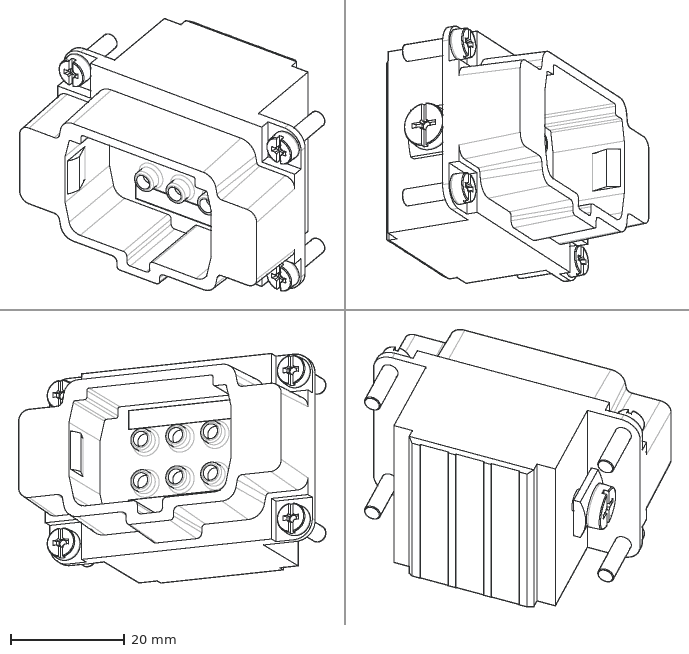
import cadquery as cq
import math


flange_width = 50.4
flange_height = 33.9
flange_thickness = 3.3
flange_corner_radius = 3.55
pocket_width = 7.0
pocket_height = 7.4
pocket_floor = 2.0

block_width = 30.55
block_rear = 19.1
tongue_width = 23.6
tongue_rear = 21.6
tongue_chamfer_depth = 0.95
tongue_side_chamfer = 0.9
tongue_end_chamfer = 0.5
rear_groove_depth = 0.15
rear_rib_width = 1.4

shroud_length = 12.1
shroud_draft = 0.45
shroud_side_draft = 0.3
ear_half_height = 8.5
ear_corner_radius = 2.0
hood_half_height = 12.95
hood_root_half_width = 17.25
hood_top_half_width = 16.4
hood_corner_radius = 3.2
hood_root_radius = 0.6
key_half_width = 4.85
key_bottom = -15.4
key_root_radius = 0.7
key_corner_radius = 1.0

cavity_floor = 2.0
cavity_notch_half_width = 12.1
cavity_top = 10.75
cavity_shoulder_height = 8.7
cavity_shoulder_half_width = 14.6
cavity_half_width = 15.5
cavity_waist_height = 4.9
cavity_bottom = -10.7
cavity_bottom_half_width = 14.25
cavity_bottom_radius = 2.4
cavity_edge_radius = 0.4
cavity_key_half_width = 2.4
cavity_key_bottom = -13.25
cavity_key_radius = 0.75

latch_height = 7.0
latch_reach = 1.0
latch_back = -5.85
latch_ridge = -9.05
latch_front = -11.35
latch_front_bulge = 0.15
latch_embed = 0.5

contact_pitch = 6.7
contact_half_spacing = 3.8
contact_length = 2.5
contact_foot_diameter = 5.05
contact_diameter = 4.0
contact_tip_diameter = 3.3
contact_bore_diameter = 2.7
contact_bore_depth = 2.0
label_width = 20.05
label_height = 3.45
label_centre_height = 8.15
label_depth = 0.15

screw_x = 22.1
screw_z = 13.5
screw_head_diameter = 5.5
screw_head_height = 2.45
screw_shank_diameter = 3.0
screw_tip_diameter = 2.7
screw_shank_end = 12.15
screw_slot_width = 0.85
screw_cross_length = 2.95
screw_core_diameter = 1.7

earth_y = 8.95
earth_plate_size = 8.75
earth_plate_gap = 1.25
earth_plate_edge = 1.25
earth_plate_crown = 1.0
earth_head_diameter = 8.0
earth_head_height = 2.55
earth_shank_diameter = 4.0
earth_tip_diameter = 3.6
earth_cross_length = 4.65
earth_core_diameter = 1.85

head_rim_height = 0.3
head_taper = 0.1
head_edge_height = 0.2
head_edge_step = 0.15
slot_depth = 0.95
core_depth = 1.3
cross_end_slope = 0.35
core_taper = 0.2


def y_box(width, y_start, y_end, height):
    """Box centred on X and Z that spans y_start to y_end."""
    depth = y_end - y_start
    return cq.Workplane("XY").box(width, depth, height).translate((0, y_start + depth / 2, 0))


def mirrored(half_corners):
    """Close an outline: right half from top to bottom, then its mirror image."""
    return half_corners + [(-x, z, radius) for x, z, radius in reversed(half_corners)]


def rounded_outline(corners, y):
    """Closed wire in the plane at y through (x, z, radius) corners, each rounded when radius > 0."""
    stretches = []
    for index, (x, z, radius) in enumerate(corners):
        corner = cq.Vector(x, y, z)
        before_x, before_z, _ = corners[index - 1]
        after_x, after_z, _ = corners[(index + 1) % len(corners)]
        to_before = (cq.Vector(before_x, y, before_z) - corner).normalized()
        to_after = (cq.Vector(after_x, y, after_z) - corner).normalized()
        if radius == 0:
            stretches.append((corner, None, corner))
            continue
        half_angle = to_before.getAngle(to_after) / 2
        tangent_length = radius / math.tan(half_angle)
        middle_distance = radius / math.sin(half_angle) - radius
        bisector = (to_before + to_after).normalized()
        stretches.append((
            corner + to_before * tangent_length,
            corner + bisector * middle_distance,
            corner + to_after * tangent_length,
        ))
    edges = []
    for index, (start, middle, end) in enumerate(stretches):
        if middle is not None:
            edges.append(cq.Edge.makeThreePointArc(start, middle, end))
        next_start = stretches[(index + 1) % len(stretches)][0]
        edges.append(cq.Edge.makeLine(end, next_start))
    return cq.Wire.assembleEdges(edges)


def flange():
    plate = y_box(flange_width, 0, flange_thickness, flange_height)
    plate = plate.edges("|Y").fillet(flange_corner_radius)
    for side_x in (-1, 1):
        for side_z in (-1, 1):
            pocket = y_box(2 * pocket_width, 0, pocket_floor, 2 * pocket_height)
            plate = plate.cut(pocket.translate((side_x * flange_width / 2, 0, side_z * flange_height / 2)))
    return plate


def terminal_block():
    block = y_box(block_width, pocket_floor, block_rear, flange_height)
    half_width = tongue_width / 2
    chamfer_start = tongue_rear - tongue_chamfer_depth
    plan = (
        cq.Workplane("XY")
        .moveTo(-half_width, pocket_floor)
        .lineTo(half_width, pocket_floor)
        .lineTo(half_width, chamfer_start)
        .lineTo(half_width - tongue_side_chamfer, tongue_rear)
        .lineTo(-half_width + tongue_side_chamfer, tongue_rear)
        .lineTo(-half_width, chamfer_start)
        .close()
        .extrude(flange_height / 2, both=True)
    )
    half_height = flange_height / 2
    side_profile = (
        cq.Workplane("YZ")
        .moveTo(pocket_floor, -half_height)
        .lineTo(chamfer_start, -half_height)
        .lineTo(tongue_rear, -half_height + tongue_end_chamfer)
        .lineTo(tongue_rear, half_height - tongue_end_chamfer)
        .lineTo(chamfer_start, half_height)
        .lineTo(pocket_floor, half_height)
        .close()
        .extrude(half_width, both=True)
    )
    tongue = plan.intersect(side_profile)
    groove = y_box(contact_pitch - rear_rib_width, tongue_rear - rear_groove_depth, tongue_rear, flange_height)
    for column in (-1, 0, 1):
        tongue = tongue.cut(groove.translate((column * contact_pitch, 0, 0)))
    return block.union(tongue)


def shroud_outline(height_inset, side_inset, y):
    """Outer shroud outline with its walls drawn in; the flat ear ends stay on the flange width."""
    hood = hood_half_height - height_inset
    ear = ear_half_height - height_inset
    hood_x = hood_top_half_width - side_inset
    root_x = hood_root_half_width - side_inset
    key_x = key_half_width - side_inset
    hood_radius = hood_corner_radius - height_inset
    root_radius = hood_root_radius + height_inset
    key_inner_radius = key_root_radius + side_inset
    key_outer_radius = key_corner_radius - side_inset
    return rounded_outline(mirrored([
        (hood_x, hood, hood_radius),
        (root_x, ear, root_radius),
        (flange_width / 2, ear, ear_corner_radius),
        (flange_width / 2, -ear, ear_corner_radius),
        (root_x, -ear, root_radius),
        (hood_x, -hood, hood_radius),
        (key_x, -hood, key_inner_radius),
        (key_x, key_bottom + height_inset, key_outer_radius),
    ]), y)


def shroud():
    base = shroud_outline(0, 0, 0)
    rim = shroud_outline(shroud_draft, shroud_side_draft, -shroud_length)
    return cq.Workplane(cq.Solid.makeLoft([base, rim], True))


def cavity():
    outline = rounded_outline(mirrored([
        (cavity_notch_half_width, cavity_top, cavity_edge_radius),
        (cavity_notch_half_width, cavity_shoulder_height, cavity_edge_radius),
        (cavity_shoulder_half_width, cavity_shoulder_height, cavity_edge_radius),
        (cavity_half_width, cavity_waist_height, 0),
        (cavity_half_width, -cavity_waist_height, 0),
        (cavity_bottom_half_width, cavity_bottom, cavity_bottom_radius),
        (cavity_key_half_width, cavity_bottom, cavity_key_radius),
        (cavity_key_half_width, cavity_key_bottom, cavity_key_radius),
    ]), cavity_floor)
    depth = cavity_floor + shroud_length
    return cq.Workplane(cq.Solid.extrudeLinear(outline, [], cq.Vector(0, -depth, 0)))


def latch():
    """Snap ridge on the +X cavity wall: straight ramp at the back, rounded at the front."""
    ridge_x = cavity_half_width - latch_reach
    bulge_x = cavity_half_width - latch_reach / 2 - latch_front_bulge
    return (
        cq.Workplane("XY")
        .moveTo(cavity_half_width + latch_embed, latch_back)
        .lineTo(cavity_half_width, latch_back)
        .lineTo(ridge_x, latch_ridge)
        .threePointArc((bulge_x, (latch_ridge + latch_front) / 2), (cavity_half_width, latch_front))
        .lineTo(cavity_half_width + latch_embed, latch_front)
        .close()
        .extrude(latch_height / 2, both=True)
    )


def contact():
    """Hollow contact along +Z from z = 0, with a filleted foot and a rounded tip."""
    radius = contact_diameter / 2
    foot_radius = contact_foot_diameter / 2 - radius
    tip_radius = radius - contact_tip_diameter / 2
    bore_radius = contact_bore_diameter / 2
    bore_floor = contact_length - contact_bore_depth
    return (
        cq.Workplane("XZ")
        .lineTo(radius + foot_radius, 0)
        .radiusArc((radius, foot_radius), foot_radius)
        .lineTo(radius, contact_length - tip_radius)
        .radiusArc((radius - tip_radius, contact_length), -tip_radius)
        .lineTo(bore_radius, contact_length)
        .lineTo(bore_radius, bore_floor)
        .lineTo(0, bore_floor)
        .close()
        .revolve(360, (0, 0, 0), (0, 1, 0))
    )


def screw(head_diameter, head_height, shank_diameter, tip_diameter, shank_length, cross_length, core_diameter):
    """Screw along Z with its head top at z = 0 and the long drive slot along Y."""
    rim_radius = head_diameter / 2
    top_radius = rim_radius - head_taper
    shank_radius = shank_diameter / 2
    shank_end = -head_height - shank_length
    tip_chamfer = shank_radius - tip_diameter / 2
    body = (
        cq.Workplane("XZ")
        .lineTo(top_radius - head_edge_step, 0)
        .lineTo(top_radius, -head_edge_height)
        .lineTo(rim_radius, head_rim_height - head_height)
        .lineTo(rim_radius, -head_height)
        .lineTo(shank_radius, -head_height)
        .lineTo(shank_radius, shank_end + tip_chamfer)
        .lineTo(shank_radius - tip_chamfer, shank_end)
        .lineTo(0, shank_end)
        .close()
        .revolve(360, (0, 0, 0), (0, 1, 0))
    )
    slot = cq.Workplane("XY").box(screw_slot_width, head_diameter, 2 * slot_depth)
    half_cross = cross_length / 2
    cross = (
        cq.Workplane("XZ")
        .moveTo(-half_cross, 0)
        .lineTo(half_cross, 0)
        .lineTo(half_cross - cross_end_slope, -slot_depth)
        .lineTo(cross_end_slope - half_cross, -slot_depth)
        .close()
        .extrude(screw_slot_width / 2, both=True)
    )
    core_radius = core_diameter / 2
    core = cq.Workplane(cq.Solid.makeCone(core_radius - core_taper, core_radius, core_depth))
    core = core.translate((0, 0, -core_depth))
    return body.cut(slot).cut(cross).cut(core)


def corner_screw():
    """Fixing screw at the origin in X and Z, head on the pocket floor and facing -Y."""
    fixing = screw(
        screw_head_diameter, screw_head_height, screw_shank_diameter, screw_tip_diameter,
        screw_shank_end - pocket_floor, screw_cross_length, screw_core_diameter,
    )
    fixing = fixing.rotate((0, 0, 0), (1, 0, 0), 90)
    return fixing.translate((0, pocket_floor - screw_head_height, 0))


def earth_terminal():
    """Crowned square clamp plate held on the -X side of the block by a large screw."""
    plate_inner = -block_width / 2 - earth_plate_gap
    plate_edge = plate_inner - earth_plate_edge
    plate_crown = plate_edge - earth_plate_crown
    half_size = earth_plate_size / 2
    plate = (
        cq.Workplane("XZ", origin=(0, earth_y, 0))
        .moveTo(plate_inner, -half_size)
        .lineTo(plate_edge, -half_size)
        .threePointArc((plate_crown, 0), (plate_edge, half_size))
        .lineTo(plate_inner, half_size)
        .close()
        .extrude(half_size, both=True)
    )
    shank_length = 2 * (-block_width / 2 - plate_crown)
    fastener = screw(
        earth_head_diameter, earth_head_height, earth_shank_diameter, earth_tip_diameter,
        shank_length, earth_cross_length, earth_core_diameter,
    )
    fastener = fastener.rotate((0, 0, 0), (0, 0, 1), 90).rotate((0, 0, 0), (0, 1, 0), -90)
    return plate.union(fastener.translate((plate_crown - earth_head_height, earth_y, 0)))


result = flange().union(terminal_block()).union(shroud()).cut(cavity())

right_latch = latch()
result = result.union(right_latch).union(right_latch.mirror("YZ"))

label = y_box(label_width, cavity_floor, cavity_floor + label_depth, label_height)
for side in (-1, 1):
    result = result.cut(label.translate((0, 0, side * label_centre_height)))

front_contact = contact().rotate((0, 0, 0), (1, 0, 0), 90)
for column in (-1, 0, 1):
    for row in (-1, 1):
        place = (column * contact_pitch, cavity_floor, row * contact_half_spacing)
        result = result.union(front_contact.translate(place))

fixing_screw = corner_screw()
for side_x in (-1, 1):
    for side_z in (-1, 1):
        result = result.union(fixing_screw.translate((side_x * screw_x, 0, side_z * screw_z)))

result = result.union(earth_terminal())